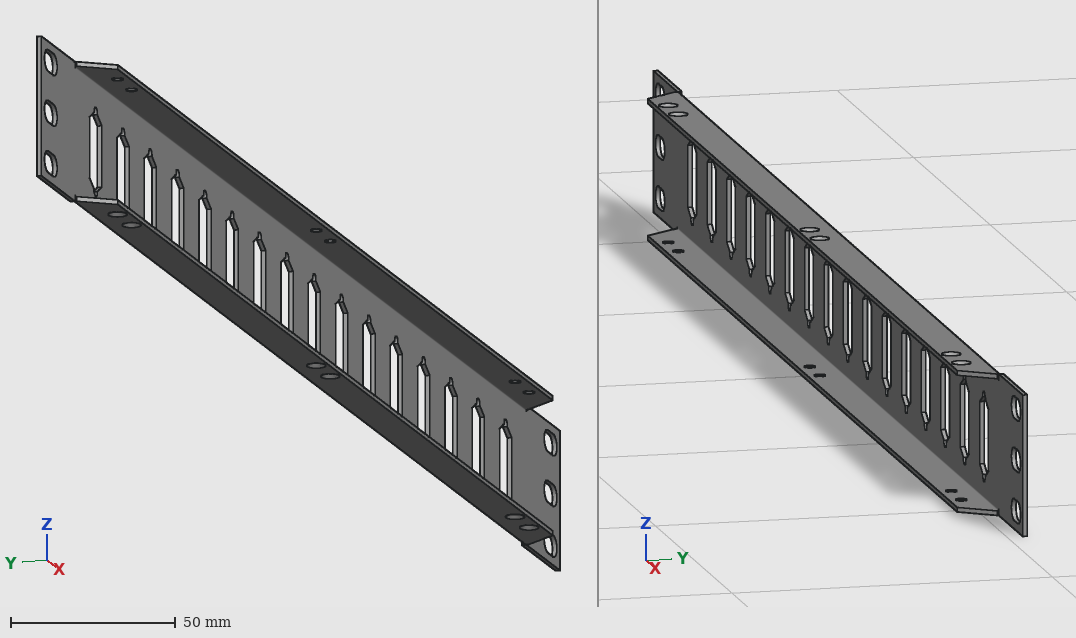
import cadquery as cq

panel_length = 482.5
panel_height = 44.0
panel_depth = 12.5
sheet = 1.5
bend_inner_radius = 0.5
bend_outer_radius = bend_inner_radius + sheet

flange_root_length = 420.0
flange_tip_length = 404.5

slot_length = 11.5
slot_height = 6.8
slot_spacing_x = 464.7
slot_pitch_z = 16.0

cutout_count = 16
cutout_row_length = 381.3
cutout_center_z = -1.5
window_width = 11.0
window_side_height = 19.5
window_overall_height = 24.0
notch_width = 3.0
notch_overall_height = 28.0

screw_hole_diameter = 3.5
countersink_diameter = 6.0
countersink_angle = 90.0
hole_pair_spacing = 13.0
hole_pair_offset = 185.0
hole_to_flange_tip = 4.0

half_height = panel_height / 2
cutter_reach = 2 * sheet


def make_end_plate(side):
    """Flat ear beyond the flanges: side is -1 for the -X end and 1 for the +X end."""
    ear_length = (panel_length - flange_root_length) / 2
    ear_center_x = side * (panel_length - ear_length) / 2
    ear = cq.Workplane("XY").box(ear_length, sheet, panel_height)
    return ear.translate((ear_center_x, -sheet / 2, 0))


def make_top_half():
    """Upper half of the middle plate, bent over into the top flange."""
    half_root = flange_root_length / 2
    half_tip = flange_tip_length / 2
    folded_strip = (
        cq.Workplane("YZ")
        .workplane(offset=-half_root)
        .moveTo(0, 0)
        .lineTo(0, half_height - bend_outer_radius)
        .radiusArc((-bend_outer_radius, half_height), -bend_outer_radius)
        .lineTo(-panel_depth, half_height)
        .lineTo(-panel_depth, half_height - sheet)
        .lineTo(-bend_outer_radius, half_height - sheet)
        .radiusArc((-sheet, half_height - bend_outer_radius), bend_inner_radius)
        .lineTo(-sheet, 0)
        .close()
        .extrude(flange_root_length)
    )
    taper_outline = (
        cq.Workplane("XY")
        .polyline([
            (-half_root, 0),
            (half_root, 0),
            (half_root, -bend_outer_radius),
            (half_tip, -panel_depth),
            (-half_tip, -panel_depth),
            (-half_root, -bend_outer_radius),
        ])
        .close()
        .extrude(half_height)
    )
    blank = folded_strip.intersect(taper_outline)
    pair_centers = (-hole_pair_offset, 0, hole_pair_offset)
    hole_y = hole_to_flange_tip - panel_depth
    hole_points = [
        (center + side * hole_pair_spacing / 2, hole_y)
        for center in pair_centers
        for side in (-1, 1)
    ]
    return (
        blank.faces(">Z")
        .workplane(origin=(0, 0, half_height))
        .pushPoints(hole_points)
        .cskHole(screw_hole_diameter, countersink_diameter, countersink_angle)
    )


def make_rack_slots():
    points = [
        (side * slot_spacing_x / 2, row * slot_pitch_z)
        for side in (-1, 1)
        for row in (-1, 0, 1)
    ]
    outlines = cq.Workplane("XZ").pushPoints(points).slot2D(slot_length, slot_height)
    return outlines.extrude(cutter_reach, both=True)


def make_connector_cutout():
    half_width = window_width / 2
    half_side = window_side_height / 2
    half_window = window_overall_height / 2
    half_notch = notch_width / 2
    window = (
        cq.Workplane("XZ")
        .polyline([
            (half_width, -half_side),
            (half_width, half_side),
            (half_notch, half_window),
            (-half_notch, half_window),
            (-half_width, half_side),
            (-half_width, -half_side),
            (-half_notch, -half_window),
            (half_notch, -half_window),
        ])
        .close()
        .extrude(cutter_reach, both=True)
    )
    notches = (
        cq.Workplane("XZ")
        .slot2D(notch_overall_height, notch_width, 90)
        .extrude(cutter_reach, both=True)
    )
    return window.union(notches)


def make_connector_cutout_row():
    cutout = make_connector_cutout()
    pitch = cutout_row_length / (cutout_count - 1)
    row = cq.Workplane("XZ")
    for index in range(cutout_count):
        x = index * pitch - cutout_row_length / 2
        row.add(cutout.translate((x, 0, cutout_center_z)))
    return row.combine()


top_half = make_top_half()

result = (
    top_half
    .union(top_half.mirror("XY"))
    .union(make_end_plate(-1))
    .union(make_end_plate(1))
    .cut(make_rack_slots())
    .cut(make_connector_cutout_row())
)